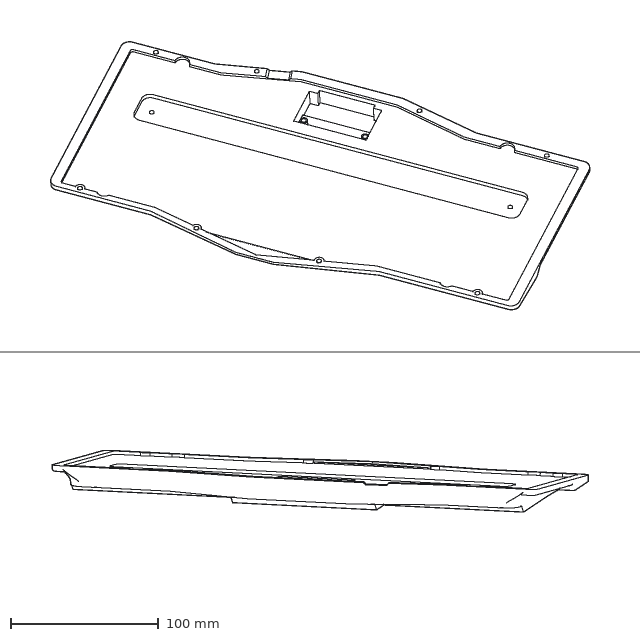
import cadquery as cq
import math

TILT = 6.0
WIDTH = 340.65
HEIGHT = 19.88
HALF_WIDTH = WIDTH / 2
SIN = math.sin(math.radians(TILT))
COS = math.cos(math.radians(TILT))

BACK_EDGE = 84.0
BACK_SHOULDER = 71.0
WING_LEFT_OUTER, WING_LEFT_INNER = -104.4, -46.0
WING_RIGHT_INNER, WING_RIGHT_OUTER = 27.4, 86.0
FRONT_EDGE = -85.59
FRONT_SHOULDER = -69.6
FRONT_LEFT_OUTER, FRONT_LEFT_INNER = -95.7, -27.3
FRONT_RIGHT_INNER, FRONT_RIGHT_OUTER = 0.0, 70.5
CORNER_RADIUS = 6.0
SLAB_DEPTH = 30.0
REACH = 400.0
CLEARANCE = 10.0

TRAY_DEPTH = 2.2
TRAY_HALF_WIDTH = 162.8
TRAY_BACK = 77.0
TRAY_BACK_SHOULDER = 64.7
TRAY_FRONT_TIP = -83.1
TRAY_FRONT_SHOULDER = -65.4
TRAY_BACK_BENDS = [-97.4, -44.2, 25.8, 79.4]
TRAY_FRONT_BENDS = [-94.3, -13.6, 67.0]
TRAY_CORNER_RADIUS = 1.5
FRONT_LEDGE = -73.8
FRONT_LEDGE_RISE = 0.8
SCALLOP_RADIUS = 5.2
BACK_SCALLOPS = [(-125.7, 64.5), (110.8, 64.5)]
FRONT_SCALLOPS = [(-132.0, -62.4), (117.6, -62.4)]

SCREW_HOLE = 3.2
FRONT_BOSS = 6.8
CORNER_SCREWS = [(-145.9, 67.6), (138.5, 67.6)]
WING_SCREWS = [(-75.1, 74.1), (42.1, 77.2)]
WING_SCREW_DEPTH = 12.0
FRONT_SCREWS = [(-148.5, -65.9), (-60.7, -73.7), (28.7, -74.1), (140.7, -65.9)]

SLOT_LENGTH = 280.6
SLOT_WIDTH = 25.0
SLOT_Y = 20.0
SLOT_DEPTH = 3.4
SLOT_RADIUS = 6.0
SLOT_HOLE_X = 130.4

BOX_LEFT, BOX_RIGHT = -35.6, 17.0
BOX_FRONT, BOX_STEP, BOX_BACK = 41.8, 57.4, 70.7
BOX_DEPTH = 12.2
BOX_STEP_HEIGHT = 2.2
TAB_LEFT, TAB_RIGHT, TAB_BACK = -29.5, 11.0, 73.7
BOX_POST_DIAMETER = 5.0
BOX_POST_HEIGHT = 4.0
BOX_POSTS = [(-31.5, 49.6), (13.0, 49.6)]

NOTCH_LEFT, NOTCH_RIGHT = -69.4, -52.5
NOTCH_DEPTH = 1.5
NOTCH_REACH = 8.5

RIM_THICKNESS = 4.2
BODY_HALF_WIDTH = 158.0
BODY_CORNER_RADIUS = 10.0
FLARE = 4.75
OVERHANG_FRONT = -28.3
FLARE_RADIUS = 6.0
OVERHANG_EDGE_RADIUS = 1.9
REAR_CLEARANCE = 5.1
FOOT_BACK = 75.5
SIDE_FOOT_BACK = 57.0
FOOT_LEFT, FOOT_RIGHT = -60.0, 41.0

TOP_ORIGIN_Z = HEIGHT - BACK_EDGE * SIN
UPRIGHT = cq.Vector(0, -SIN, COS)


def slope_plane(depth=0.0):
    """Plane parallel to the sloping top face, the given depth below it."""
    origin = (0, depth * SIN, TOP_ORIGIN_Z - depth * COS)
    return cq.Plane(origin=origin, xDir=(1, 0, 0), normal=UPRIGHT)


def cut_down(points, start_depth, depth):
    """Prism on a polygon, running down from start_depth below the top face."""
    return cq.Workplane(slope_plane(start_depth)).polyline(points).close().extrude(-depth)


def cylinders(points, diameter, start_depth, depth):
    return cq.Workplane(slope_plane(start_depth)).pushPoints(points).circle(diameter / 2).extrude(-depth)


def slope_height(y, depth):
    """Height at Y = y of the plane the given depth below the top face."""
    return TOP_ORIGIN_Z + y * SIN / COS - depth / COS


def round_upright(solid, radius, region):
    """Round the edges square to the top face that lie inside the region."""
    upright = cq.selectors.ParallelDirSelector(UPRIGHT) & region
    return solid.edges(upright).fillet(radius)


def side_prism(points, left, right):
    """Prism along X on a polygon of (Y, Z) points."""
    return cq.Workplane("YZ", origin=(left, 0, 0)).polyline(points).close().extrude(right - left)


def beside(x):
    """Region to the outside of +-x, on both sides."""
    box = cq.selectors.BoxSelector
    left = box((-REACH, -REACH, -REACH), (-x, REACH, REACH))
    right = box((x, -REACH, -REACH), (REACH, REACH, REACH))
    return left + right


def outer_slab():
    outline = [
        (-HALF_WIDTH, BACK_SHOULDER),
        (WING_LEFT_OUTER, BACK_SHOULDER),
        (WING_LEFT_INNER, BACK_EDGE),
        (WING_RIGHT_INNER, BACK_EDGE),
        (WING_RIGHT_OUTER, BACK_SHOULDER),
        (HALF_WIDTH, BACK_SHOULDER),
        (HALF_WIDTH, FRONT_SHOULDER),
        (FRONT_RIGHT_OUTER, FRONT_SHOULDER),
        (FRONT_RIGHT_INNER, FRONT_EDGE),
        (FRONT_LEFT_INNER, FRONT_EDGE),
        (FRONT_LEFT_OUTER, FRONT_SHOULDER),
        (-HALF_WIDTH, FRONT_SHOULDER),
    ]
    slab = round_upright(cut_down(outline, 0, SLAB_DEPTH), CORNER_RADIUS, beside(HALF_WIDTH - 1))
    table = cq.Workplane("XY").box(REACH, REACH, REACH, centered=(True, True, False))
    return slab.intersect(table)


def overhang_cutter():
    """Space under the left overhanging side, bounded inward by the flared wall of the deep body."""
    inner = -BODY_HALF_WIDTH
    clear = -HALF_WIDTH - CLEARANCE
    radius = BODY_CORNER_RADIUS
    wing = WING_LEFT_OUTER - CLEARANCE
    behind = BACK_EDGE + CLEARANCE
    front = OVERHANG_FRONT - 3 * CLEARANCE
    plan = [
        (clear, front),
        (inner, front),
        (inner, BACK_SHOULDER),
        (wing, BACK_SHOULDER),
        (wing, behind),
        (clear, behind),
    ]
    cutter = cut_down(plan, RIM_THICKNESS, SLAB_DEPTH)

    box = cq.selectors.BoxSelector
    body_corner = box((inner - 1, BACK_SHOULDER - radius, -REACH), (inner + 1, BACK_SHOULDER + radius, REACH))
    cutter = round_upright(cutter, radius, body_corner)

    ceiling = cq.selectors.DirectionMinMaxSelector(UPRIGHT)
    body_edge = box((inner - 1, -REACH, -REACH), (wing - radius, BACK_SHOULDER + 1, REACH))
    cutter = cutter.faces(ceiling).edges(body_edge).chamfer(FLARE)

    flare_y = (front + BACK_SHOULDER - radius) / 2
    flare_z = slope_height(flare_y, RIM_THICKNESS + FLARE)
    flare_foot = cq.selectors.NearestToPointSelector((inner, flare_y, flare_z))
    cutter = cutter.edges(flare_foot).fillet(FLARE_RADIUS)

    front_end = [
        (OVERHANG_FRONT - REACH, -REACH),
        (OVERHANG_FRONT - REACH, REACH),
        (OVERHANG_FRONT + REACH, REACH),
    ]
    return cutter.cut(side_prism(front_end, -REACH, REACH))


def rear_cutter(foot_back, left, right):
    """Space under the back, ending at a 45 degree foot back."""
    points = [
        (foot_back, 0),
        (foot_back + REAR_CLEARANCE, REAR_CLEARANCE),
        (REACH, REAR_CLEARANCE),
        (REACH, 0),
    ]
    return side_prism(points, left, right)


def tray():
    outline = [
        (-TRAY_HALF_WIDTH, TRAY_BACK_SHOULDER),
        (TRAY_BACK_BENDS[0], TRAY_BACK_SHOULDER),
        (TRAY_BACK_BENDS[1], TRAY_BACK),
        (TRAY_BACK_BENDS[2], TRAY_BACK),
        (TRAY_BACK_BENDS[3], TRAY_BACK_SHOULDER),
        (TRAY_HALF_WIDTH, TRAY_BACK_SHOULDER),
        (TRAY_HALF_WIDTH, TRAY_FRONT_SHOULDER),
        (TRAY_FRONT_BENDS[2], TRAY_FRONT_SHOULDER),
        (TRAY_FRONT_BENDS[1], TRAY_FRONT_TIP),
        (TRAY_FRONT_BENDS[0], TRAY_FRONT_SHOULDER),
        (-TRAY_HALF_WIDTH, TRAY_FRONT_SHOULDER),
    ]
    recess = cut_down(outline, 0, TRAY_DEPTH)
    recess = round_upright(recess, TRAY_CORNER_RADIUS, beside(TRAY_HALF_WIDTH - 1))
    scallops = cylinders(BACK_SCALLOPS + FRONT_SCALLOPS, 2 * SCALLOP_RADIUS, 0, TRAY_DEPTH)
    ledge_length = FRONT_LEDGE - FRONT_EDGE
    ledge_plane = cq.Workplane(slope_plane(TRAY_DEPTH)).center(0, FRONT_LEDGE - ledge_length / 2)
    ledge = ledge_plane.rect(WIDTH, ledge_length).extrude(FRONT_LEDGE_RISE)
    bosses = cylinders(FRONT_SCREWS, FRONT_BOSS, 0, TRAY_DEPTH)
    return recess.union(scallops).cut(ledge).cut(bosses)


def long_slot():
    floor = cq.Workplane(slope_plane(TRAY_DEPTH)).center(0, SLOT_Y)
    slot = floor.rect(SLOT_LENGTH, SLOT_WIDTH).extrude(-SLOT_DEPTH)
    return round_upright(slot, SLOT_RADIUS, beside(SLOT_LENGTH / 2 - 1))


def compartment():
    def block(left, right, front, back, depth):
        corners = [(left, front), (right, front), (right, back), (left, back)]
        return cut_down(corners, TRAY_DEPTH, depth)

    front_depth = BOX_DEPTH - BOX_STEP_HEIGHT
    front_part = block(BOX_LEFT, BOX_RIGHT, BOX_FRONT, BOX_STEP, front_depth)
    back_part = block(BOX_LEFT, BOX_RIGHT, BOX_STEP, BOX_BACK, BOX_DEPTH)
    tab = block(TAB_LEFT, TAB_RIGHT, BOX_STEP, TAB_BACK, BOX_DEPTH)
    post_top = TRAY_DEPTH + front_depth - BOX_POST_HEIGHT
    posts = cylinders(BOX_POSTS, BOX_POST_DIAMETER, post_top, BOX_POST_HEIGHT)
    holes = cylinders(BOX_POSTS, SCREW_HOLE, post_top, BOX_POST_HEIGHT)
    return front_part.union(back_part).union(tab).cut(posts).union(holes)


def cable_notch():
    """Sloped-ended notch across the left oblique part of the back rim."""
    run = WING_LEFT_INNER - WING_LEFT_OUTER
    rise = BACK_EDGE - BACK_SHOULDER
    angle = math.atan2(rise, run)
    middle_x = (NOTCH_LEFT + NOTCH_RIGHT) / 2
    middle_y = BACK_SHOULDER + (middle_x - WING_LEFT_OUTER) * rise / run
    half_top = (NOTCH_RIGHT - NOTCH_LEFT) / 2 / math.cos(angle)
    half_floor = half_top - NOTCH_DEPTH
    profile = [
        (-half_top, 0),
        (half_top, 0),
        (half_floor, -NOTCH_DEPTH),
        (-half_floor, -NOTCH_DEPTH),
    ]
    along_rim = cq.Workplane(slope_plane()).center(middle_x, middle_y)
    across_rim = along_rim.transformed(rotate=(0, 0, math.degrees(angle))).transformed(rotate=(90, 0, 0))
    return across_rim.polyline(profile).close().extrude(NOTCH_REACH, both=True)


def round_overhang_edges(body):
    """Round the lower outer edges of the overhangs, along the sides and down their front ends."""
    side_y = (OVERHANG_FRONT + BACK_SHOULDER) / 2
    side_z = slope_height(side_y, RIM_THICKNESS)
    near = cq.selectors.NearestToPointSelector
    for x in (-HALF_WIDTH, HALF_WIDTH):
        side_edge = near((x, side_y, side_z))
        front_end_edge = near((x, OVERHANG_FRONT, 0))
        body = body.edges(side_edge + front_end_edge).fillet(OVERHANG_EDGE_RADIUS)
    return body


def cut_underside(body):
    left_gap = overhang_cutter()
    body = round_overhang_edges(body.cut(left_gap).cut(left_gap.mirror("YZ")))
    body = body.cut(rear_cutter(FOOT_BACK, -REACH, REACH))
    body = body.cut(rear_cutter(SIDE_FOOT_BACK, -REACH, FOOT_LEFT))
    return body.cut(rear_cutter(SIDE_FOOT_BACK, FOOT_RIGHT, REACH))


def cut_holes(body):
    slot_holes = [(-SLOT_HOLE_X, SLOT_Y), (SLOT_HOLE_X, SLOT_Y)]
    body = body.cut(cylinders(CORNER_SCREWS + FRONT_SCREWS, SCREW_HOLE, 0, SLAB_DEPTH))
    body = body.cut(cylinders(WING_SCREWS, SCREW_HOLE, 0, WING_SCREW_DEPTH))
    return body.cut(cylinders(slot_holes, SCREW_HOLE, TRAY_DEPTH, SLAB_DEPTH))


case = cut_underside(outer_slab())
case = case.cut(tray()).cut(long_slot()).cut(compartment()).cut(cable_notch())
result = cut_holes(case)